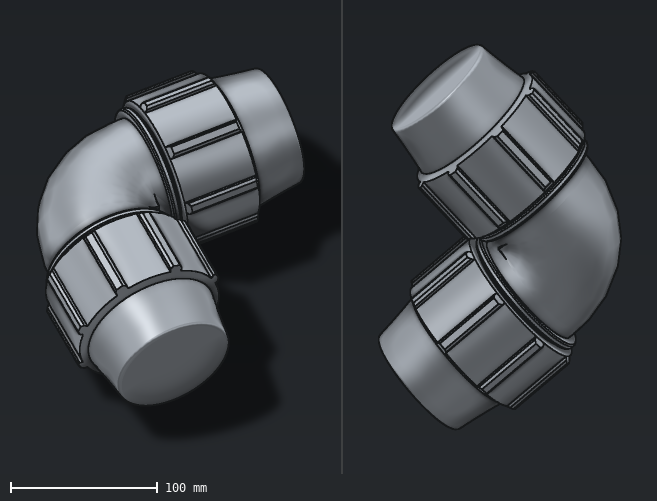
import cadquery as cq
import math

overall_length = 204.2
overall_height = 106.4

pipe_radius = 42.9
bend_offset = 41.0
corner_block = 408.3
pipe_overlap = 2.0
crotch_fillet = 10.0

flange_radius = 98.5 / 2
flange_start = 49.8
flange_end = 55.0
flange_chamfer_length = 1.2
flange_chamfer_depth = 0.8

nut_start = 57.4
nut_end = 114.0
nut_radius = 52.7
nut_face_slope = 0.46
rib_count = 8
rib_tip_half_width = 2.7
rib_tip_chamfer = 1.8
rib_root_radius = 49.0
rib_lead_length = 3.0

hood_base_radius = 47.4
hood_middle_radius = 44.3
hood_end_radius = 41.9
hood_edge_fillet = 2.5

rib_half_width = rib_tip_half_width + rib_tip_chamfer

rib_half_pitch = 180.0 / rib_count
half_pitch_rad = math.radians(rib_half_pitch)
half_height = overall_height / 2
rib_tip_height = (half_height - rib_tip_half_width * math.sin(half_pitch_rad)) / math.cos(half_pitch_rad)
rib_tip_radius = math.hypot(rib_tip_height, rib_tip_half_width)
leg_end = overall_length - half_height


def nut_face_position(radius):
    """Distance along the leg at which the conical nut face has this radius."""
    return nut_end - nut_face_slope * (radius - hood_base_radius)


def revolve_about_x(outline):
    """Turn a closed (axial, radial) outline about the X axis."""
    return outline.close().revolve(360, (0, 0, 0), (1, 0, 0))


def make_flange():
    rim_radius = flange_radius - flange_chamfer_depth
    return revolve_about_x(
        cq.Workplane("XY")
        .moveTo(flange_start, 0)
        .lineTo(flange_start, rim_radius)
        .lineTo(flange_start + flange_chamfer_length, flange_radius)
        .lineTo(flange_end - flange_chamfer_length, flange_radius)
        .lineTo(flange_end, rim_radius)
        .lineTo(flange_end, 0)
    )


def make_nut():
    """Round nut with grip ribs, shaped at both ends by conical faces."""
    nut_length = nut_end - nut_start
    nut_plane = cq.Workplane("YZ").workplane(offset=nut_start)
    nut = nut_plane.circle(nut_radius).extrude(nut_length)
    rib = (
        nut_plane.moveTo(-rib_half_width, rib_root_radius)
        .lineTo(-rib_half_width, rib_tip_height - rib_tip_chamfer)
        .lineTo(-rib_tip_half_width, rib_tip_height)
        .lineTo(rib_tip_half_width, rib_tip_height)
        .lineTo(rib_half_width, rib_tip_height - rib_tip_chamfer)
        .lineTo(rib_half_width, rib_root_radius)
        .close()
        .extrude(nut_length)
    )
    for i in range(rib_count):
        rib_angle = rib_half_pitch * (2 * i + 1)
        nut = nut.union(rib.rotate((0, 0, 0), (1, 0, 0), rib_angle))
    limits = revolve_about_x(
        cq.Workplane("XY")
        .moveTo(nut_start, 0)
        .lineTo(nut_start, nut_radius)
        .lineTo(nut_start + rib_lead_length, rib_tip_radius)
        .lineTo(nut_face_position(rib_tip_radius), rib_tip_radius)
        .lineTo(nut_end, hood_base_radius)
        .lineTo(nut_end, 0)
    )
    return nut.intersect(limits)


def make_hood():
    hood = revolve_about_x(
        cq.Workplane("XY")
        .moveTo(nut_end, 0)
        .lineTo(nut_end, hood_base_radius)
        .threePointArc(((nut_end + leg_end) / 2, hood_middle_radius), (leg_end, hood_end_radius))
        .lineTo(leg_end, 0)
    )
    return hood.faces(">X").edges().fillet(hood_edge_fillet)


def swap_legs(solid):
    """Exchange X and Y, turning one leg into the other."""
    return solid.rotate((0, 0, 0), (1, 1, 0), 180)


def make_straight_pipes():
    """Both straight pipes, blended where they meet on the inside of the bend."""
    pipe_plane = cq.Plane(origin=(0, 0, 0), xDir=(0, -1, 0), normal=(1, 0, 0))
    pipe = cq.Workplane(pipe_plane).circle(pipe_radius).extrude(nut_start + pipe_overlap)
    pipes = pipe.union(swap_legs(pipe)).edges("%ELLIPSE").fillet(crotch_fillet)
    corner = cq.Workplane("XY").box(corner_block, corner_block, corner_block)
    corner_shift = bend_offset - corner_block / 2
    return pipes.cut(corner.translate((corner_shift, corner_shift, 0)))


def make_bend():
    """Quarter turn of the pipe about the vertical line at the bend offset."""
    ball_height = math.sqrt((pipe_radius + crotch_fillet) ** 2 - bend_offset**2)
    contact_ratio = pipe_radius / (pipe_radius + crotch_fillet)
    contact_x = bend_offset * contact_ratio
    contact_z = ball_height * contact_ratio
    bowl_z = ball_height - crotch_fillet
    bowl_half_angle = math.atan2(bend_offset, ball_height) / 2
    bowl_mid_x = bend_offset - crotch_fillet * math.sin(bowl_half_angle)
    bowl_mid_z = ball_height - crotch_fillet * math.cos(bowl_half_angle)
    section = (
        cq.Workplane("XZ", origin=(0, bend_offset, 0))
        .moveTo(bend_offset, -bowl_z)
        .threePointArc((bowl_mid_x, -bowl_mid_z), (contact_x, -contact_z))
        .threePointArc((-pipe_radius, 0), (contact_x, contact_z))
        .threePointArc((bowl_mid_x, bowl_mid_z), (bend_offset, bowl_z))
        .close()
    )
    return section.revolve(90, (bend_offset, 0, 0), (bend_offset, 1, 0))


result = make_straight_pipes().union(make_bend())
for part in (make_flange(), make_nut(), make_hood()):
    result = result.union(part).union(swap_legs(part))